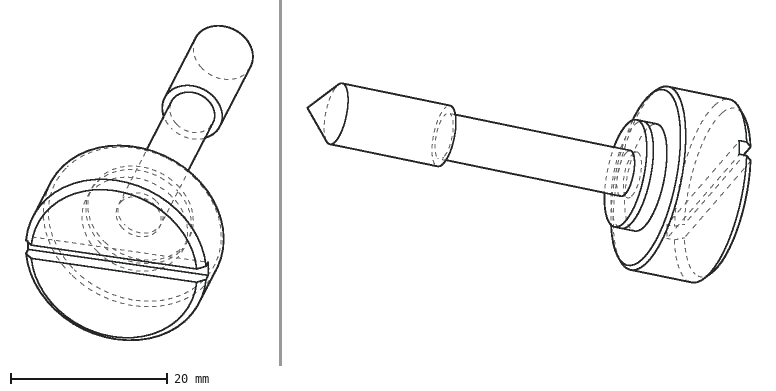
import cadquery as cq

overall_length = 57.0

head_diameter = 24.0
head_length = 10.0
front_chamfer = 0.95
rear_chamfer = 0.5

slot_width = 2.0
slot_depth = 2.0

collar_diameter = 14.0
collar_length = 1.9
washer_thickness = 0.9

shaft_diameter = 6.0
tip_diameter = 8.0
tip_barrel_length = 15.0
point_length = tip_diameter / 2

collar_start = head_length
collar_end = collar_start + collar_length
point_start = overall_length - point_length
barrel_start = point_start - tip_barrel_length


def cylinder_along_y(diameter, start, length):
    """Solid cylinder on the Y axis, from start towards +Y."""
    plane = cq.Plane(origin=(0, start, 0), xDir=(1, 0, 0), normal=(0, 1, 0))
    return cq.Workplane(plane).circle(diameter / 2).extrude(length)


def make_head():
    """Chamfered disc with a screwdriver slot across its front face."""
    head = cylinder_along_y(head_diameter, 0, head_length)
    head = head.faces("<Y").chamfer(front_chamfer)
    head = head.faces(">Y").chamfer(rear_chamfer)
    slot = cq.Workplane("XY").box(
        head_diameter, slot_depth, slot_width, centered=(True, False, True)
    )
    return head.cut(slot)


def make_pointed_tip():
    """Barrel thicker than the shaft, ending in a sharp cone."""
    barrel_radius = tip_diameter / 2
    return (
        cq.Workplane("XY")
        .moveTo(0, barrel_start)
        .lineTo(barrel_radius, barrel_start)
        .lineTo(barrel_radius, point_start)
        .lineTo(0, overall_length)
        .close()
        .revolve(360, (0, 0, 0), (0, 1, 0))
    )


def make_screw():
    """Head, collar, shaft and pointed tip as one solid."""
    collar = cylinder_along_y(collar_diameter, collar_start, collar_length)
    shaft = cylinder_along_y(shaft_diameter, collar_end, barrel_start - collar_end)
    return make_head().union(collar).union(shaft).union(make_pointed_tip())


def make_washer():
    """Flat ring around the shaft, seated against the collar."""
    ring = cylinder_along_y(collar_diameter, collar_end, washer_thickness)
    bore = cylinder_along_y(shaft_diameter, collar_end, washer_thickness)
    return ring.cut(bore)


screw = make_screw()
washer = make_washer()

result = cq.Compound.makeCompound([screw.val(), washer.val()])